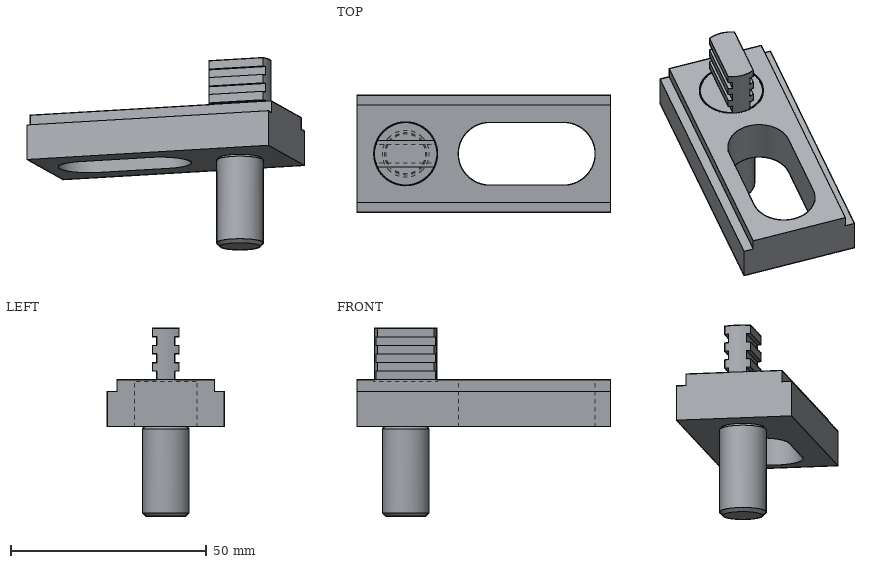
import cadquery as cq

plate_length = 65.0
plate_width = 30.0
plate_height = 12.0
ledge_width = 2.5
ledge_depth = 3.0

slot_width = 16.0
slot_length = 35.0
slot_start_x = 26.0

stud_x = 12.5

head_diameter = 16.0
clearance = 0.2
clearance_depth = 0.5

key_thickness = 6.8
key_neck_thickness = 4.7
groove_count = 3
band_height = 2.2
key_height = 2 * groove_count * band_height

pin_diameter = 12.0
pin_length = 23.0
pin_top_chamfer = 0.6
pin_end_chamfer = 0.9


def make_plate():
    """Rectangular plate with a ledge along both long edges and a through slot."""
    base = cq.Workplane("XY").box(
        plate_length, plate_width, plate_height - ledge_depth, centered=(False, True, False)
    )
    raised = cq.Workplane("XY").box(
        plate_length, plate_width - 2 * ledge_width, plate_height, centered=(False, True, False)
    )
    slot = (
        cq.Workplane("XY")
        .center(slot_start_x + slot_length / 2, 0)
        .slot2D(slot_length, slot_width)
        .extrude(plate_height)
    )
    return base.union(raised).cut(slot)


def make_clearance_groove():
    """Thin ring around the head, open at the top of the plate."""
    head_radius = head_diameter / 2
    return (
        cq.Workplane("XY", origin=(stud_x, 0, plate_height - clearance_depth))
        .circle(head_radius + clearance)
        .circle(head_radius)
        .extrude(clearance_depth)
    )


def make_key():
    """Blade with round ends; grooved bands alternate with full bands from the plate up."""
    blade = cq.Workplane("XY").box(
        head_diameter, key_neck_thickness, key_height, centered=(True, True, False)
    )
    for index in range(groove_count):
        rib_bottom = (2 * index + 1) * band_height
        rib = (
            cq.Workplane("XY", origin=(0, 0, rib_bottom))
            .box(head_diameter, key_thickness, band_height, centered=(True, True, False))
        )
        blade = blade.union(rib)
    round_envelope = cq.Workplane("XY").circle(head_diameter / 2).extrude(key_height)
    return blade.intersect(round_envelope).translate((stud_x, 0, plate_height))


def make_pin():
    """Round pin hanging from the underside, chamfered at both ends."""
    return (
        cq.Workplane("XY", origin=(stud_x, 0, -pin_length))
        .circle(pin_diameter / 2)
        .extrude(pin_length)
        .faces("<Z").chamfer(pin_end_chamfer)
        .faces(">Z").chamfer(pin_top_chamfer)
    )


plate = make_plate().cut(make_clearance_groove())
result = plate.union(make_key()).union(make_pin())